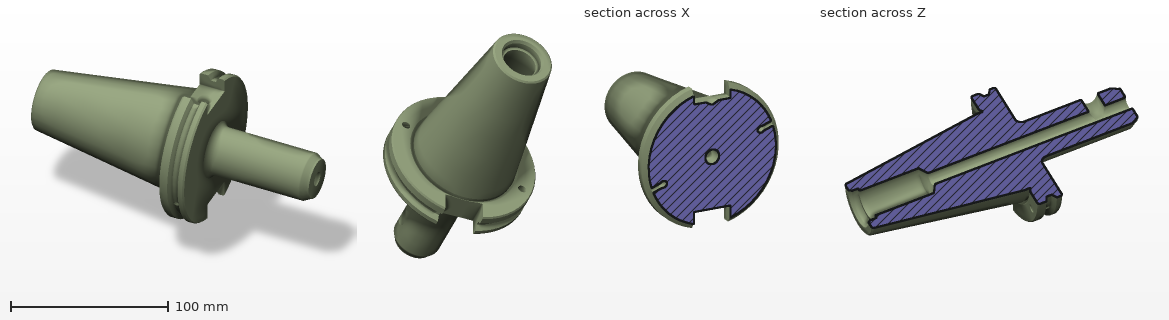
import cadquery as cq
import math

length = 191.6

taper_length = 102.1
taper_slope = 7 / 48
taper_large_radius = 34.9
taper_small_radius = taper_large_radius - taper_length * taper_slope
taper_chamfer = 1.0

neck_radius = 69.2 / 2
relief_radius = 36.8
relief_depth = 1.5

flange_front = 103.3
flange_back = 120.7
flange_radius = 98.1 / 2
rim_chamfer_length = 1.1
rim_chamfer_height = 0.8
groove_center = 112.9
groove_floor_width = 3.5
groove_floor_radius = 45.6
groove_wall_angle = 30.0

slot_width = 25.7
upper_slot_floor = 38.0
lower_slot_floor = 35.5
slot_corner_radius = 0.5
dimple_diameter = 9.4
drill_point_angle = 118.0

shank_radius = 31.8 / 2
root_blend_length = 4.6
root_blend_height = 3.0
tip_cone_start = 185.9
tip_blend_length = 0.8
tip_cone_end = 190.5
tip_cone_angle = 30.0
tip_face_radius = 26.2 / 2

bore_mouth_radius = 14.4
counterbore_radius = 26.2 / 2
mouth_chamfer_length = 2.0
counterbore_end = 6.1
thread_radius = 22.0 / 2
thread_end = 47.9
through_radius = 9.5 / 2

screw_hole_x = 171.1
screw_hole_diameter = 11.3

channel_angle = 20.0
channel_radius = 42.2
channel_slant = 30.0
channel_entry_diameter = 5.0
channel_entry_depth = 2.9
channel_diameter = 4.2
channel_depth = 11.5
groove_hole_diameter = 3.8
groove_hole_inner_radius = 36.4


def drill_tip(radius):
    """Length of the conical drill point of a hole."""
    return radius / math.tan(math.radians(drill_point_angle / 2))


def cylinder(start, direction, diameter, depth):
    return cq.Workplane(cq.Solid.makeCylinder(diameter / 2, depth, cq.Vector(*start), cq.Vector(*direction)))


def revolve_about_x(profile):
    return profile.close().revolve(360, (0, 0, 0), (1, 0, 0))


def make_body():
    """Taper, flange and shank as one turned profile."""
    wall_length = (flange_radius - groove_floor_radius) * math.tan(math.radians(groove_wall_angle))
    groove_half = groove_floor_width / 2
    rim_edge = flange_radius - rim_chamfer_height
    cone = math.radians(tip_cone_angle)
    blend_end = tip_cone_start + tip_blend_length
    blend_end_radius = shank_radius - tip_blend_length * math.tan(cone / 2)
    cone_end_radius = blend_end_radius - (tip_cone_end - blend_end) * math.tan(cone)
    root_end = flange_back + root_blend_length
    root_radius = (root_blend_length**2 + root_blend_height**2) / (2 * root_blend_height)
    root_mid = math.asin(root_blend_length / root_radius) / 2
    profile = (
        cq.Workplane("XY")
        .moveTo(0, 0)
        .lineTo(0, taper_small_radius - taper_chamfer)
        .lineTo(taper_chamfer, taper_small_radius + taper_chamfer * taper_slope)
        .lineTo(taper_length, taper_large_radius)
        .lineTo(taper_length, neck_radius)
        .lineTo(flange_front + relief_depth, neck_radius)
        .lineTo(flange_front, relief_radius)
        .lineTo(flange_front, rim_edge)
        .lineTo(flange_front + rim_chamfer_length, flange_radius)
        .lineTo(groove_center - groove_half - wall_length, flange_radius)
        .lineTo(groove_center - groove_half, groove_floor_radius)
        .lineTo(groove_center + groove_half, groove_floor_radius)
        .lineTo(groove_center + groove_half + wall_length, flange_radius)
        .lineTo(flange_back - rim_chamfer_length, flange_radius)
        .lineTo(flange_back, rim_edge)
        .lineTo(flange_back, shank_radius + root_blend_height)
        .threePointArc(
            (root_end - root_radius * math.sin(root_mid), shank_radius + root_radius * (1 - math.cos(root_mid))),
            (root_end, shank_radius),
        )
        .lineTo(tip_cone_start, shank_radius)
        .tangentArcPoint((blend_end, blend_end_radius), relative=False)
        .lineTo(tip_cone_end, cone_end_radius)
        .lineTo(length, tip_face_radius)
        .lineTo(length, 0)
    )
    return revolve_about_x(profile)


def make_bore():
    """Chamfered counterbore, threaded length with drill point, and central through hole."""
    tip_end = thread_end + drill_tip(thread_radius) - drill_tip(through_radius)
    profile = (
        cq.Workplane("XY")
        .moveTo(0, 0)
        .lineTo(0, bore_mouth_radius)
        .lineTo(mouth_chamfer_length, counterbore_radius)
        .lineTo(counterbore_end, counterbore_radius)
        .lineTo(counterbore_end, thread_radius)
        .lineTo(thread_end, thread_radius)
        .lineTo(tip_end, through_radius)
        .lineTo(length, through_radius)
        .lineTo(length, 0)
    )
    return revolve_about_x(profile)


def make_slot(side, floor):
    """Drive slot above (side = 1) or below (side = -1) the axis."""
    height = flange_radius - floor
    center = ((flange_front + flange_back) / 2, 0, side * (floor + height / 2))
    slot = cq.Workplane("XY").box(flange_back - flange_front, slot_width, height)
    floor_edges = "|X and <Z" if side > 0 else "|X and >Z"
    return slot.edges(floor_edges).fillet(slot_corner_radius).translate(center)


def make_dimple():
    """Conical drill-point dimple in the upper slot floor."""
    radius = dimple_diameter / 2
    start = cq.Vector(groove_center, 0, upper_slot_floor)
    return cq.Workplane(cq.Solid.makeCone(radius, 0, drill_tip(radius), start, cq.Vector(0, 0, -1)))


def make_screw_hole():
    """Radial hole from the +Y side of the shank to the axis."""
    return cylinder((screw_hole_x, shank_radius, 0), (0, -1, 0), screw_hole_diameter, shank_radius)


def make_channel(angle):
    """Stepped slanted hole in the flange face and the radial groove hole that meets it."""
    y = math.cos(math.radians(angle))
    z = math.sin(math.radians(angle))
    slant = math.radians(channel_slant)
    inward = (math.cos(slant), -y * math.sin(slant), -z * math.sin(slant))
    lead = channel_entry_diameter
    mouth = (flange_front, channel_radius * y, channel_radius * z)
    start = tuple(p - lead * d for p, d in zip(mouth, inward))
    entry = cylinder(start, inward, channel_entry_diameter, lead + channel_entry_depth)
    deep = cylinder(start, inward, channel_diameter, lead + channel_depth)
    groove_start = (groove_center, groove_hole_inner_radius * y, groove_hole_inner_radius * z)
    groove_depth = flange_radius - groove_hole_inner_radius
    groove_hole = cylinder(groove_start, (0, y, z), groove_hole_diameter, groove_depth)
    return entry.union(deep).union(groove_hole)


result = make_body().cut(make_bore())
result = result.cut(make_slot(1, upper_slot_floor)).cut(make_slot(-1, lower_slot_floor))
result = result.cut(make_dimple()).cut(make_screw_hole())
for angle in (channel_angle, channel_angle + 180):
    result = result.cut(make_channel(angle))